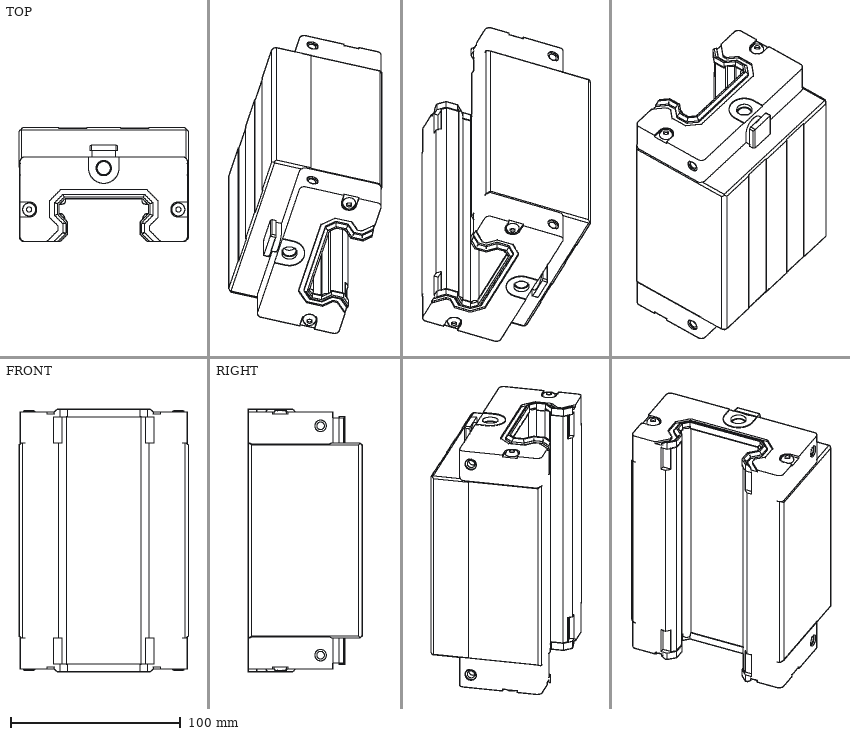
import cadquery as cq
import math

WIDTH = 100.0
HEIGHT = 67.3
LENGTH = 155.0
OVERSIZE = 10.0

BLOCK_LENGTH = 115.0
BACK_CHAMFER = 2.3
RAIL_CHAMFER = 2.0
STEP_DEPTH = 0.3
STEP_HEIGHT = 43.9
END_CHAMFER_Z = 1.1
END_CHAMFER_SIDE = 1.6
BACK_GROOVE_DEPTH = 0.4
BACK_GROOVE_INNER = 9.9
BACK_GROOVE_OUTER = 26.6

CAP_WIDTH = 98.7
CAP_BACK = 50.0
CAP_FILLET = 3.0
CAP_TOP = 75.85
SEAL_TOP = LENGTH / 2
SEAL_PLATE_BOTTOM = 72.9
CAP_RECESS_FLOOR = 74.65
SEAL_RIM = 1.0
SEAL_CHAMFER = SEAL_TOP - CAP_TOP
SEAL_CHAMFER_ANGLE = 45.0
SEAL_OUTER = SEAL_RIM + SEAL_CHAMFER
SEAL_RECESS_OFFSET = 5.6

SEAL_CEILING = 25.2
SEAL_CORNER = 3.4
SEAL_SIDE = 26.3
SEAL_LIP = 21.4
SEAL_LIP_TOP = 11.6
SEAL_LIP_BOTTOM = 4.25

OPENING_CLEARANCE = 0.5
CEILING = SEAL_CEILING + OPENING_CLEARANCE
SIDE = SEAL_SIDE + OPENING_CLEARANCE
LIP = SEAL_LIP + OPENING_CLEARANCE
UPPER_RIDGE = 22.5
UPPER_RIDGE_TOP = 24.0
UPPER_RIDGE_RADIUS = 2.0
LOWER_RIDGE_TOP = 16.5
LOWER_RIDGE_EDGE = 25.0
LOWER_RIDGE = 22.9
LOWER_RIDGE_BOTTOM = 13.2
LOWER_RIDGE_BULGE = 0.4

LEG_POCKET_INNER = 24.5
LEG_POCKET_OUTER = 29.6
LEG_POCKET_DEPTH = LEG_POCKET_INNER - LIP

SCREW_X = 44.0
SCREW_Y = 18.9
SCREW_POCKET_DIAMETER = 9.0
SCREW_HEAD_DIAMETER = 7.6
SCREW_HEAD_RIM = 0.3
SCREW_HEAD_TOP = 76.6
SCREW_FLAT_DIAMETER = 4.6
SCREW_SOCKET_DIAMETER = 3.0
SCREW_SOCKET_DEPTH = 1.5

PORT_Y = 43.3
PORT_DIAMETER = 9.0
PORT_DEPTH = 2.5
PORT_BORE_DIAMETER = 7.78
PORT_BORE_DEPTH = 8.0
PORT_FACE_RADIUS = 9.0
PORT_FACE_DEPTH = 0.5
SIDE_PORT_Y = 42.7
SIDE_PORT_Z = 67.6
SIDE_PORT_DIAMETER = 6.75
SIDE_PORT_DEPTH = 1.0
SIDE_BORE_DIAMETER = 4.5
SIDE_BORE_DEPTH = 5.0

KEY_POST_DIAMETER = 14.0
KEY_Z = 65.3
KEY_HEAD_WIDTH = 16.4
KEY_HEAD_TOP = 73.1
KEY_HEAD_BOTTOM_Y = 53.6
KEY_HEAD_TOP_Y = 57.0
KEY_CORNER_CHAMFER = 1.0
KEY_EDGE_CHAMFER = 0.9


def box(x_range, y_range, z_range):
    """Box between two limits on each axis."""
    size = [high - low for low, high in (x_range, y_range, z_range)]
    return cq.Workplane("XY").box(*size, centered=False).translate((x_range[0], y_range[0], z_range[0]))


def cylinder_z(diameter, x, y, bottom, top):
    """Cylinder along Z."""
    return cq.Workplane("XY", origin=(x, y, bottom)).circle(diameter / 2).extrude(top - bottom)


def both_ends(shape):
    """Shape joined with its mirror image about Z = 0."""
    return shape.union(shape.mirror("XY"))


def both_sides(shape):
    """Shape joined with its mirror image about X = 0."""
    return shape.union(shape.mirror("YZ"))


def make_block():
    """Block outline along Z, with chamfered ends at both sides and the back."""
    half = WIDTH / 2
    stepped = half - STEP_DEPTH
    rail_edge = half - RAIL_CHAMFER
    back_edge = half - BACK_CHAMFER
    groove_floor = HEIGHT - BACK_GROOVE_DEPTH
    outline = [
        (-rail_edge, 0),
        (rail_edge, 0),
        (half, RAIL_CHAMFER),
        (half, HEIGHT - BACK_CHAMFER),
        (back_edge, HEIGHT),
        (-back_edge, HEIGHT),
        (-half, HEIGHT - BACK_CHAMFER),
        (-half, STEP_HEIGHT),
        (-stepped, STEP_HEIGHT),
        (-stepped, RAIL_CHAMFER - STEP_DEPTH),
    ]
    block = cq.Workplane("XY").polyline(outline).close().extrude(BLOCK_LENGTH / 2, both=True)

    end = BLOCK_LENGTH / 2
    shoulder = end - END_CHAMFER_Z
    side_edge = half - END_CHAMFER_SIDE
    across = [
        (-side_edge, -end),
        (side_edge, -end),
        (half, -shoulder),
        (half, shoulder),
        (side_edge, end),
        (-side_edge, end),
        (-half, shoulder),
        (-half, -shoulder),
    ]
    block = block.intersect(cq.Workplane("XZ").polyline(across).close().extrude(-HEIGHT))
    upright = [
        (0, -end),
        (HEIGHT - END_CHAMFER_SIDE, -end),
        (HEIGHT, -shoulder),
        (HEIGHT, shoulder),
        (HEIGHT - END_CHAMFER_SIDE, end),
        (0, end),
    ]
    block = block.intersect(cq.Workplane("YZ").polyline(upright).close().extrude(half, both=True))

    groove = box(
        (BACK_GROOVE_INNER, BACK_GROOVE_OUTER),
        (groove_floor, HEIGHT + OVERSIZE),
        (-LENGTH / 2, LENGTH / 2),
    )
    return block.cut(both_sides(groove))


def make_caps():
    """Both end caps as one bar that runs through the block."""
    bar = box((-CAP_WIDTH / 2, CAP_WIDTH / 2), (0, CAP_BACK), (-CAP_TOP, CAP_TOP))
    return bar.edges("|Z").fillet(CAP_FILLET)


def rail_opening():
    """Half-section of the block opening, extruded through and mirrored."""
    slope = math.sqrt(0.5)
    ridge_x = UPPER_RIDGE + UPPER_RIDGE_RADIUS * (1 - slope)
    ridge_y = UPPER_RIDGE_TOP - UPPER_RIDGE_RADIUS * slope
    lower_middle = (
        (LOWER_RIDGE_EDGE + LOWER_RIDGE) / 2 - LOWER_RIDGE_BULGE,
        (LOWER_RIDGE_TOP + LOWER_RIDGE_BOTTOM) / 2 + LOWER_RIDGE_BULGE,
    )
    foot = LIP + SEAL_LIP_BOTTOM + OPENING_CLEARANCE
    half = (
        cq.Workplane("XY", origin=(0, 0, -LENGTH / 2))
        .moveTo(0, CEILING)
        .lineTo(UPPER_RIDGE, CEILING)
        .lineTo(UPPER_RIDGE, UPPER_RIDGE_TOP)
        .threePointArc(
            (ridge_x, ridge_y),
            (UPPER_RIDGE + UPPER_RIDGE_RADIUS, UPPER_RIDGE_TOP - UPPER_RIDGE_RADIUS),
        )
        .lineTo(SIDE, UPPER_RIDGE_TOP - UPPER_RIDGE_RADIUS)
        .lineTo(SIDE, LOWER_RIDGE_TOP)
        .lineTo(LOWER_RIDGE_EDGE, LOWER_RIDGE_TOP)
        .threePointArc(lower_middle, (LOWER_RIDGE, LOWER_RIDGE_BOTTOM))
        .lineTo(LIP, LOWER_RIDGE_BOTTOM - (LOWER_RIDGE - LIP))
        .lineTo(LIP, foot - LIP)
        .lineTo(foot, 0)
        .lineTo(0, 0)
        .close()
        .extrude(LENGTH)
    )
    return both_sides(half)


def seal_section(offset, bottom, height, taper=0):
    """Seal opening grown by an offset; its legs run out below the rail face."""
    run_out = -OVERSIZE
    right = [
        (SEAL_SIDE - SEAL_CORNER, SEAL_CEILING),
        (SEAL_SIDE, SEAL_CEILING - SEAL_CORNER),
        (SEAL_SIDE, SEAL_LIP_TOP + SEAL_SIDE - SEAL_LIP),
        (SEAL_LIP, SEAL_LIP_TOP),
        (SEAL_LIP, SEAL_LIP_BOTTOM),
        (SEAL_LIP + SEAL_LIP_BOTTOM - run_out, run_out),
    ]
    left = [(-x, y) for x, y in reversed(right)]
    section = cq.Workplane("XY", origin=(0, 0, bottom)).polyline(right + left).close()
    if offset:
        section = section.offset2D(offset, "intersection")
    return section.extrude(height, taper=taper)


def make_seal():
    """Seal plate of the top end: a straight band with a sloping outer rim."""
    above_rail_face = box((-WIDTH, WIDTH), (0, HEIGHT), (0, LENGTH))
    band = seal_section(SEAL_OUTER, SEAL_PLATE_BOTTOM, CAP_TOP - SEAL_PLATE_BOTTOM)
    rim = seal_section(SEAL_OUTER, CAP_TOP, SEAL_CHAMFER, taper=SEAL_CHAMFER_ANGLE)
    opening = seal_section(0, SEAL_PLATE_BOTTOM, SEAL_TOP - SEAL_PLATE_BOTTOM)
    return band.union(rim).cut(opening).intersect(above_rail_face)


def leg_pockets():
    """Pockets between the block end and the seal plate."""
    pocket = box(
        (LEG_POCKET_INNER, LEG_POCKET_OUTER),
        (0, LEG_POCKET_DEPTH),
        (BLOCK_LENGTH / 2, SEAL_PLATE_BOTTOM),
    )
    return both_sides(pocket)


def screw_pockets():
    """Round-ended pockets that run out through the cap sides."""
    radius = SCREW_POCKET_DIAMETER / 2
    z_range = (CAP_RECESS_FLOOR, CAP_TOP)
    run_out = box((SCREW_X, WIDTH / 2), (SCREW_Y - radius, SCREW_Y + radius), z_range)
    pocket = cylinder_z(SCREW_POCKET_DIAMETER, SCREW_X, SCREW_Y, *z_range).union(run_out)
    return both_sides(pocket)


def screw_heads():
    """Domed screw heads, each with a round socket."""
    radius = SCREW_HEAD_DIAMETER / 2
    flat = SCREW_FLAT_DIAMETER / 2
    height = SCREW_HEAD_TOP - CAP_RECESS_FLOOR
    dome_height = height - SCREW_HEAD_RIM
    slope = math.sqrt(0.5)
    dome_middle = (flat + (radius - flat) * slope, SCREW_HEAD_RIM + dome_height * slope)
    head = (
        cq.Workplane("XZ")
        .lineTo(radius, 0)
        .lineTo(radius, SCREW_HEAD_RIM)
        .threePointArc(dome_middle, (flat, height))
        .lineTo(0, height)
        .close()
        .revolve(360, (0, 0, 0), (0, 1, 0))
    )
    head = head.cut(cylinder_z(SCREW_SOCKET_DIAMETER, 0, 0, height - SCREW_SOCKET_DEPTH, height))
    return both_sides(head.translate((SCREW_X, SCREW_Y, CAP_RECESS_FLOOR)))


def end_port():
    """Stepped port in the cap end, inside a shallow U-shaped face."""
    face_bottom = CAP_TOP - PORT_FACE_DEPTH
    face_range = (face_bottom, CAP_TOP)
    face = cylinder_z(2 * PORT_FACE_RADIUS, 0, PORT_Y, *face_range)
    run_out = box((-PORT_FACE_RADIUS, PORT_FACE_RADIUS), (PORT_Y, HEIGHT), face_range)
    port = cylinder_z(PORT_DIAMETER, 0, PORT_Y, face_bottom - PORT_DEPTH, CAP_TOP)
    bore = cylinder_z(PORT_BORE_DIAMETER, 0, PORT_Y, face_bottom - PORT_BORE_DEPTH, CAP_TOP)
    return face.union(run_out).union(port).union(bore)


def side_ports():
    """Counterbored ports in both cap sides."""
    plane = cq.Workplane("YZ", origin=(CAP_WIDTH / 2, SIDE_PORT_Y, SIDE_PORT_Z))
    counterbore = plane.circle(SIDE_PORT_DIAMETER / 2).extrude(-SIDE_PORT_DEPTH)
    bore = plane.circle(SIDE_BORE_DIAMETER / 2).extrude(-SIDE_BORE_DEPTH)
    return both_sides(counterbore.union(bore))


def make_key():
    """Round-ended post with a wider head, against the block end."""
    block_end = BLOCK_LENGTH / 2
    radius = KEY_POST_DIAMETER / 2
    post_height = KEY_HEAD_BOTTOM_Y - CAP_BACK
    post = cq.Workplane("XZ", origin=(0, CAP_BACK, KEY_Z)).circle(radius).extrude(-post_height)
    post = post.union(box((-radius, radius), (CAP_BACK, KEY_HEAD_BOTTOM_Y), (block_end, KEY_Z)))
    half = KEY_HEAD_WIDTH / 2
    head = box((-half, half), (KEY_HEAD_BOTTOM_Y, KEY_HEAD_TOP_Y), (block_end, KEY_HEAD_TOP))
    head = head.edges("|Y and >Z").chamfer(KEY_CORNER_CHAMFER)
    head = head.faces("<X or >X").edges(">Y").chamfer(KEY_EDGE_CHAMFER)
    return post.union(head)


seal_recess = seal_section(SEAL_RECESS_OFFSET, CAP_RECESS_FLOOR, CAP_TOP - CAP_RECESS_FLOOR)
end_cuts = seal_recess.union(screw_pockets()).union(end_port()).union(side_ports()).union(leg_pockets())
end_parts = make_seal().union(screw_heads()).union(make_key())

result = make_caps().union(make_block()).cut(rail_opening()).cut(both_ends(end_cuts))
result = result.union(both_ends(end_parts))